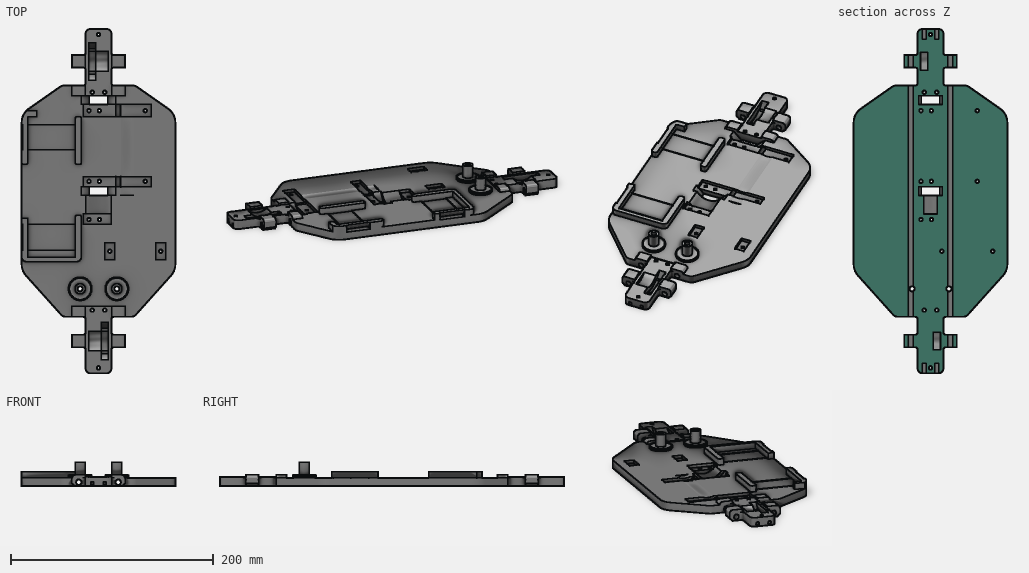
import cadquery as cq
import math

LENGTH = 340.0
WIDTH = 152.0
HEIGHT = 23.8
PLATE_THICKNESS = 8.3
SCREW_DIAMETER = 3.2

PLATE_END_Y = 114.3
FRONT_FLAT_HALF = 35.0
BACK_FLAT_HALF = 36.0
FRONT_SHOULDER_Y = -68.6
BACK_SHOULDER_Y = 86.3
FRONT_SHOULDER_RADIUS = 17.0
BACK_SHOULDER_RADIUS = 17.0
PLATE_END_RADIUS = 7.0

ARM_WIDTH = 25.8
ARM_HEIGHT = 9.3
ARM_CORNER_RADIUS = 5.0
ARM_ROOT_LENGTH = 10.4
ARM_ROOT_FILLET = 2.0
ARM_TIP_SCREW_Y = LENGTH / 2 - 5.5
ARM_ROOT_SCREW_X = 6.2
ARM_ROOT_SCREW_Y = 107.5
END_HOLE_Z = 2.9
END_HOLE_DEPTH = 10.0

LUG_REACH = 26.4
LUG_HEIGHT = 11.4
LUG_ROUND = 3.3
LUG_BOTTOM_CHAMFER = 3.0
ARM_LUG_WIDTH = 12.6
HINGE_X = 19.4
HINGE_Z = 3.9
HINGE_DIAMETER = 5.2

WHEEL_Y = 138.0
WHEEL_AXIS_Z = ARM_HEIGHT + 12.2
WHEEL_HALF_CHORD = 18.5
WHEEL_FLOOR_Z = 3.3
MOTOR_HALF_CHORD = 9.8
RECESS_HALF_WIDTH = 9.7
WHEEL_SLOT_WIDTH = 6.9

RAIL_TOP_Z = 14.5
RAIL_WIDTH = 6.2
RAIL_LEFT = -WIDTH / 2
RAIL_RIGHT = -16.8
RAIL_END_RADIUS = 2.2
RAIL_CORNER_RADIUS = 5.0
BACK_RAIL_Y = (36.2, 83.5)
BACK_HOOK_Y = 89.0
HOOK_FILLET = 1.0
BACK_HOOK_X = -61.0
FRONT_RAIL_Y = (-59.7, -16.9)
FRONT_INNER_RAIL_END_Y = -13.7
FRONT_WALL = 4.2
STRAP_WINDOWS = ((50.9, 75.6), (-48.3, -22.6))
STRAP_FLOOR_Z = PLATE_THICKNESS - 0.7
STRAP_EDGE_INSET = 1.0

POCKET_FLOOR_Z = 5.2
BRACKET_LEFT = -15.0
BRACKET_RIGHT = 52.0
BRACKET_SCREWS_X = (-9.4, 0.9, 46.1)
BACK_BRACKET_Y = (83.5, 95.5)
MID_BRACKET_Y = (14.1, 24.3)
REAR_BRACKET_Y = (-23.0, -12.6)
BACK_SCREW_Y = 89.3
MID_SCREW_Y = 19.6
REAR_SCREW_Y = -18.2
TAPER_TOP_HALF = 17.0
TAPER_BOTTOM_HALF = 8.9
TROUGH_END_Y = 5.8
TROUGH_HALF_WIDTH = 12.8
TROUGH_DEPTH = 7.0
SHAFT_X = 28.2
SHAFT_HALF_WIDTH = 6.2
SHAFT_DEPTH = 1.0
SHAFT_TOP_Y = 95.0

SERVO_X = (11.2, 61.4)
SERVO_POCKET_WIDTH = 10.0
SERVO_POCKET_Y = (-57.9, -40.9)

GEAR_X = 18.1
GEAR_Y = -86.5
GEAR_DIAMETER = 22.0
GEAR_TIP_DIAMETER = 23.2
GEAR_ROOT_DIAMETER = 21.2
GEAR_TEETH = 36
TOOTH_TIP_SHARE = 0.4
GEAR_TOP_Z = 11.4
TOOTH_TOP_Z = 11.0
TOOTH_HEIGHT = 1.4
PIN_DIAMETER = 10.1
PIN_BORE = 4.9


def box(x_range, y_range, z_range):
    """Axis-aligned block between the given limits."""
    size = [high - low for low, high in (x_range, y_range, z_range)]
    corner = (x_range[0], y_range[0], z_range[0])
    return cq.Workplane("XY").box(*size, centered=False).translate(corner)


def upright(points, z_low, z_high, diameter):
    """Vertical cylinders at the given XY points."""
    base = cq.Workplane("XY").workplane(offset=z_low)
    return base.pushPoints(points).circle(diameter / 2).extrude(z_high - z_low)


def along_y(x, z, radius, y_range):
    """Cylinder parallel to Y."""
    base = cq.Workplane("XZ", origin=(x, y_range[0], z))
    return base.circle(radius).extrude(y_range[0] - y_range[1])


def along_x(y, z, radius, x_range):
    """Cylinder parallel to X."""
    base = cq.Workplane("YZ", origin=(x_range[0], y, z))
    return base.circle(radius).extrude(x_range[1] - x_range[0])


def shallow_trough(x, half_width, depth, y_range):
    """Cylinder parallel to Y that sinks to a depth in the plate's top face."""
    radius = (half_width**2 + depth**2) / (2 * depth)
    return along_y(x, PLATE_THICKNESS - depth + radius, radius, y_range)


def half_turn(shape):
    """The same shape at the opposite end of the part."""
    return shape.rotate((0, 0, 0), (0, 0, 1), 180)


def make_plate(thickness):
    half = WIDTH / 2
    corners = [
        (-FRONT_FLAT_HALF, -PLATE_END_Y),
        (FRONT_FLAT_HALF, -PLATE_END_Y),
        (half, FRONT_SHOULDER_Y),
        (half, BACK_SHOULDER_Y),
        (BACK_FLAT_HALF, PLATE_END_Y),
        (-BACK_FLAT_HALF, PLATE_END_Y),
        (-half, BACK_SHOULDER_Y),
        (-half, FRONT_SHOULDER_Y),
    ]
    plate = cq.Workplane("XY").polyline(corners).close().extrude(thickness)
    plate = plate.edges("|Z and (<Y or >Y)").fillet(PLATE_END_RADIUS)
    plate = plate.edges("|Z and (<X or >X)").edges("<Y").fillet(FRONT_SHOULDER_RADIUS)
    return plate.edges("|Z and (<X or >X)").edges(">Y").fillet(BACK_SHOULDER_RADIUS)


def make_lug(y_range):
    """Pair of lugs, one on each side of the arm, rounded above and bevelled below."""
    bar = box((-LUG_REACH, LUG_REACH), y_range, (0, LUG_HEIGHT))
    bar = bar.edges("|Y and >Z").fillet(LUG_ROUND)
    bar = bar.edges("|Y and <Z").chamfer(LUG_BOTTOM_CHAMFER)
    gap = box((-ARM_WIDTH / 2, ARM_WIDTH / 2), y_range, (ARM_HEIGHT, LUG_HEIGHT))
    return bar.cut(gap)


def make_arm():
    """Arm at the +Y end with its two pairs of lugs."""
    half = ARM_WIDTH / 2
    root_y = PLATE_END_Y - ARM_ROOT_LENGTH
    arm = box((-half, half), (root_y, LENGTH / 2), (0, ARM_HEIGHT))
    arm = arm.edges("|Z and >Y").fillet(ARM_CORNER_RADIUS)
    arm_lug_y = (WHEEL_Y - ARM_LUG_WIDTH / 2, WHEEL_Y + ARM_LUG_WIDTH / 2)
    arm = arm.union(make_lug(arm_lug_y)).union(make_lug((root_y, PLATE_END_Y)))
    for y, side in ((PLATE_END_Y, 1), (arm_lug_y[0], -1), (arm_lug_y[1], 1)):
        arm = arm.union(root_fillet(1, y, side)).union(root_fillet(-1, y, side))
    return arm


def root_fillet(x_side, y, y_side):
    """Concave rounding in the corner between the arm's side and a face across it."""
    x = x_side * ARM_WIDTH / 2
    x_out = x + x_side * ARM_ROOT_FILLET
    y_out = y + y_side * ARM_ROOT_FILLET
    mid = ARM_ROOT_FILLET * (1 - math.sqrt(0.5))
    return (
        cq.Workplane("XY").moveTo(x, y).lineTo(x_out, y)
        .threePointArc((x + x_side * mid, y + y_side * mid), (x, y_out))
        .close().extrude(PLATE_THICKNESS)
    )


def arm_cuts():
    """Wheel slot, motor recess and screw holes of the +Y arm."""
    rise = WHEEL_AXIS_Z - ARM_HEIGHT
    wheel_radius = math.hypot(WHEEL_HALF_CHORD, rise)
    motor_radius = math.hypot(MOTOR_HALF_CHORD, rise)
    hub_radius = math.hypot(MOTOR_HALF_CHORD, WHEEL_AXIS_Z - WHEEL_FLOOR_Z)
    slot_x = (-RECESS_HALF_WIDTH, -RECESS_HALF_WIDTH + WHEEL_SLOT_WIDTH)
    motor_x = (slot_x[1], RECESS_HALF_WIDTH)

    wheel_y = (WHEEL_Y - WHEEL_HALF_CHORD, WHEEL_Y + WHEEL_HALF_CHORD)
    above_floor = box(slot_x, wheel_y, (WHEEL_FLOOR_Z, ARM_HEIGHT))
    wheel = along_x(WHEEL_Y, WHEEL_AXIS_Z, wheel_radius, slot_x).intersect(above_floor)
    hub = along_x(WHEEL_Y, WHEEL_AXIS_Z, hub_radius, slot_x)
    hub_y = (WHEEL_Y - MOTOR_HALF_CHORD, WHEEL_Y + MOTOR_HALF_CHORD)
    hub = hub.intersect(box(slot_x, hub_y, (0, ARM_HEIGHT)))
    motor = along_x(WHEEL_Y, WHEEL_AXIS_Z, motor_radius, motor_x)

    screws = [(0, ARM_TIP_SCREW_Y)]
    screws += [(side * ARM_ROOT_SCREW_X, ARM_ROOT_SCREW_Y) for side in (-1, 1)]
    cuts = wheel.union(hub).union(motor).union(upright(screws, 0, ARM_HEIGHT, SCREW_DIAMETER))
    for side in (-1, 1):
        end_y = (LENGTH / 2 - END_HOLE_DEPTH, LENGTH / 2)
        cuts = cuts.union(along_y(side * ARM_ROOT_SCREW_X, END_HOLE_Z, SCREW_DIAMETER / 2, end_y))
    return cuts


def make_rails():
    """Battery rails on the -X half, trimmed to the plate outline."""
    z_range = (0, RAIL_TOP_Z)
    outer_x = (RAIL_LEFT, RAIL_LEFT + RAIL_WIDTH)
    inner_x = (RAIL_RIGHT - RAIL_WIDTH, RAIL_RIGHT)

    back_outer = box(outer_x, (BACK_RAIL_Y[0], BACK_HOOK_Y), z_range)
    back_outer = back_outer.edges("|Z and <Y").fillet(RAIL_END_RADIUS)
    hook = box((RAIL_LEFT, BACK_HOOK_X), (BACK_RAIL_Y[1], BACK_HOOK_Y), z_range)
    back_outer = back_outer.union(hook)
    inside_corner = cq.selectors.NearestToPointSelector((outer_x[1], BACK_RAIL_Y[1], RAIL_TOP_Z / 2))
    back_outer = back_outer.edges(inside_corner).fillet(HOOK_FILLET)
    back_inner = box(inner_x, BACK_RAIL_Y, z_range).edges("|Z").fillet(RAIL_END_RADIUS)

    front_inner = box(inner_x, (FRONT_RAIL_Y[0], FRONT_INNER_RAIL_END_Y), z_range)
    front_inner = front_inner.edges("|Z and >Y").fillet(RAIL_END_RADIUS)
    front_outer = box(outer_x, FRONT_RAIL_Y, z_range)
    wall_y = (FRONT_RAIL_Y[0], FRONT_RAIL_Y[0] + FRONT_WALL)
    front = front_inner.union(front_outer).union(box((RAIL_LEFT, RAIL_RIGHT), wall_y, z_range))
    front = front.edges("|Z and <Y").fillet(RAIL_CORNER_RADIUS)

    rails = back_outer.union(back_inner).union(front)
    return rails.intersect(make_plate(RAIL_TOP_Z))


def strap_cut(y_range):
    """Strap passage: shallow floor channel and a rounded cut under the outer rail."""
    inner_face = RAIL_RIGHT - RAIL_WIDTH
    edge_x = RAIL_LEFT + STRAP_EDGE_INSET
    radius = RAIL_TOP_Z - PLATE_THICKNESS
    centre_x = edge_x + radius
    channel = box((RAIL_LEFT, inner_face), y_range, (STRAP_FLOOR_Z, PLATE_THICKNESS))
    opening = box((RAIL_LEFT, centre_x), y_range, (PLATE_THICKNESS, RAIL_TOP_Z))
    return channel.union(opening.cut(along_y(centre_x, RAIL_TOP_Z, radius, y_range)))


def bracket_cuts():
    """Bracket pockets with their screw holes."""
    z_range = (POCKET_FLOOR_Z, PLATE_THICKNESS)
    cuts = box((BRACKET_LEFT, BRACKET_RIGHT), BACK_BRACKET_Y, z_range)
    cuts = cuts.union(box((BRACKET_LEFT, BRACKET_RIGHT), MID_BRACKET_Y, z_range))
    cuts = cuts.union(box((BRACKET_LEFT, TROUGH_HALF_WIDTH), REAR_BRACKET_Y, z_range))
    screws = [(x, y) for x in BRACKET_SCREWS_X for y in (BACK_SCREW_Y, MID_SCREW_Y)]
    screws += [(x, REAR_SCREW_Y) for x in BRACKET_SCREWS_X[:2]]
    return cuts.union(upright(screws, 0, PLATE_THICKNESS, SCREW_DIAMETER))


def tapered_window(y_range):
    """Opening through the plate with two sloping sides."""
    outline = [
        (-TAPER_BOTTOM_HALF, 0),
        (TAPER_BOTTOM_HALF, 0),
        (TAPER_TOP_HALF, PLATE_THICKNESS),
        (-TAPER_TOP_HALF, PLATE_THICKNESS),
    ]
    base = cq.Workplane("XZ", origin=(0, y_range[0], 0))
    return base.polyline(outline).close().extrude(y_range[0] - y_range[1])


def servo_cuts():
    middle_y = sum(SERVO_POCKET_Y) / 2
    cuts = upright([(x, middle_y) for x in SERVO_X], 0, PLATE_THICKNESS, SCREW_DIAMETER)
    for x in SERVO_X:
        x_range = (x - SERVO_POCKET_WIDTH / 2, x + SERVO_POCKET_WIDTH / 2)
        cuts = cuts.union(box(x_range, SERVO_POCKET_Y, (POCKET_FLOOR_Z, PLATE_THICKNESS)))
    return cuts


def make_gear():
    """Toothed wheel under a plain disc, with a pin standing on it."""
    tooth_pitch = 2 * math.pi / GEAR_TEETH
    tip_arc = tooth_pitch * TOOTH_TIP_SHARE
    outline = []
    for tooth in range(GEAR_TEETH):
        start = tooth * tooth_pitch
        middle = start + tooth_pitch / 2
        for radius, angle in (
            (GEAR_ROOT_DIAMETER / 2, start),
            (GEAR_TIP_DIAMETER / 2, middle - tip_arc / 2),
            (GEAR_TIP_DIAMETER / 2, middle + tip_arc / 2),
        ):
            outline.append((radius * math.cos(angle), radius * math.sin(angle)))
    tooth_base_z = TOOTH_TOP_Z - TOOTH_HEIGHT
    teeth = cq.Workplane("XY").workplane(offset=tooth_base_z).polyline(outline).close()
    gear = teeth.extrude(TOOTH_HEIGHT)
    centre = [(0, 0)]
    gear = gear.union(upright(centre, PLATE_THICKNESS, tooth_base_z, GEAR_ROOT_DIAMETER))
    gear = gear.union(upright(centre, TOOTH_TOP_Z, GEAR_TOP_Z, GEAR_DIAMETER))
    return gear.union(upright(centre, PLATE_THICKNESS, HEIGHT, PIN_DIAMETER))


arm = make_arm()
result = make_plate(PLATE_THICKNESS).union(arm).union(half_turn(arm)).union(make_rails())
result = result.cut(arm_cuts()).cut(half_turn(arm_cuts()))

for window_y in STRAP_WINDOWS:
    result = result.cut(strap_cut(window_y))

result = result.cut(bracket_cuts()).cut(servo_cuts())
result = result.cut(tapered_window((BACK_BRACKET_Y[1], PLATE_END_Y - ARM_ROOT_LENGTH)))
result = result.cut(tapered_window((TROUGH_END_Y, MID_BRACKET_Y[0])))
result = result.cut(shallow_trough(0, TROUGH_HALF_WIDTH, TROUGH_DEPTH, (REAR_BRACKET_Y[1], TROUGH_END_Y)))
result = result.cut(shallow_trough(SHAFT_X, SHAFT_HALF_WIDTH, SHAFT_DEPTH, (TROUGH_END_Y, SHAFT_TOP_Y)))

for hinge_side in (-1, 1):
    hinge = along_y(hinge_side * HINGE_X, HINGE_Z, HINGE_DIAMETER / 2, (-LENGTH / 2, LENGTH / 2))
    gear_point = (hinge_side * GEAR_X, GEAR_Y)
    result = result.cut(hinge).union(make_gear().translate((*gear_point, 0)))
    result = result.cut(upright([gear_point], 0, HEIGHT, PIN_BORE))